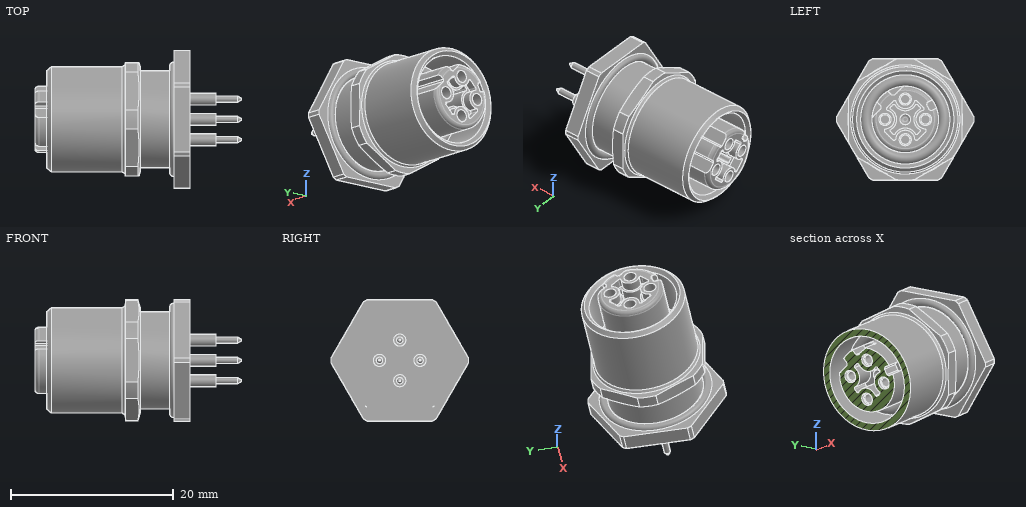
import cadquery as cq
import math

SHELL_FRONT = 1.46
COLLAR_START = 10.76
NUT_FRONT = 11.12
NUT_BACK = 13.0
FLANGE_FRONT = 17.13
FLANGE_BACK = 19.13
PIN_SHOULDER = 22.36
PIN_TAPER_START = 24.97
PIN_END = 25.5

SHELL_RADIUS = 13 / 2
BORE_RADIUS = 11 / 2
RIM_RADIUS = 6.0
SHELL_CHAMFER_LENGTH = 0.57
BORE_CHAMFER_LENGTH = 0.5
BORE_FLOOR = 8.0
NECK_RADIUS = 12 / 2

NUT_ACROSS_FLATS = 14.0
NUT_CORNER_RADIUS = 7.5
NUT_FRONT_CHAMFER = 0.08
NUT_BACK_CHAMFER = 0.3
COLLAR_RADIUS = 6.73

FLANGE_ACROSS_FLATS = 15.0
FLANGE_CORNER_RADIUS = 17 / 2
SEAL_SECTION_RADIUS = 0.52
SEAL_CENTRE_RADIUS = 6.55

INSERT_RADIUS = 4.1
INSERT_FILLET = 0.5
KEY_DEPTH = 6.0
KEY_FLAT_DISTANCE = 3.06
KEY_RIB_WIDTH = 1.9
KEY_RIB_ANGLE = 135
KEYWAY_ANGLE = 28
KEYWAY_WIDTH = 1.15
KEYWAY_FLOOR = 3.17
KEY_CORNER = 0.2

CONTACT_OFFSET = 2.5
SOCKET_RADIUS = 1.5 / 2
SOCKET_CORE_RADIUS = 1.15 / 2
SOCKET_DEPTH = 4.0
SOCKET_CORE_DEPTH = 6.0
PIN_BODY_RADIUS = 1.5 / 2
PIN_RADIUS = 0.8 / 2
PIN_TIP_RADIUS = 0.1

ARM_ANGLES = [45, 135, 225, 315]
OUTER_REACHES = [2.62, 2.62, 2.87, 2.87]
INNER_REACHES = [2.35] * 4
POCKET_WALL_RADIUS = 1.17
INNER_WALL_RADIUS = 1.44
OUTER_ARM_WIDTHS = [1.55, 1.55, 1.8, 1.8]
INNER_ARM_WIDTHS = [0.8] * 4
HUB_RADIUS = 1.6
ARM_CORNER = 0.2
POCKET_DEPTH = 1.25
INNER_POCKET_DEPTH = 6.0
DIMPLE_RADIUS = 0.66
DIMPLE_FLAT_RADIUS = 0.28


def plane_at(x):
    """Plane square to the axis: local x is -Y, local y is +Z, normal is -X."""
    return cq.Workplane(cq.Plane((x, 0, 0), xDir=(0, -1, 0), normal=(-1, 0, 0)))


def revolve(profile):
    return profile.close().revolve(360, (0, 0, 0), (1, 0, 0))


def cylinder(x_start, x_end, radius, centre=(0, 0)):
    return plane_at(x_end).center(*centre).circle(radius).extrude(x_end - x_start)


def hexagon(x_start, x_end, across_flats, turn):
    across_corners = across_flats / math.cos(math.radians(30))
    prism = plane_at(x_end).polygon(6, across_corners).extrude(x_end - x_start)
    return prism.rotate((0, 0, 0), (1, 0, 0), turn)


def around_axis(angles):
    return [
        (CONTACT_OFFSET * math.cos(math.radians(a)), CONTACT_OFFSET * math.sin(math.radians(a)))
        for a in angles
    ]


CONTACTS = around_axis([0, 90, 180, 270])


def make_shell():
    ring_radius = (BORE_RADIUS - INSERT_RADIUS) / 2
    return revolve(
        cq.Workplane("XY")
        .moveTo(SHELL_FRONT, RIM_RADIUS)
        .lineTo(SHELL_FRONT + SHELL_CHAMFER_LENGTH, SHELL_RADIUS)
        .lineTo(COLLAR_START, SHELL_RADIUS)
        .lineTo(NUT_FRONT, COLLAR_RADIUS)
        .lineTo(NUT_BACK, SHELL_RADIUS)
        .lineTo(NUT_BACK, NECK_RADIUS)
        .lineTo(FLANGE_BACK, NECK_RADIUS)
        .lineTo(FLANGE_BACK, 0)
        .lineTo(BORE_FLOOR, 0)
        .lineTo(BORE_FLOOR, INSERT_RADIUS)
        .threePointArc((BORE_FLOOR - ring_radius, INSERT_RADIUS + ring_radius), (BORE_FLOOR, BORE_RADIUS))
        .lineTo(SHELL_FRONT + BORE_CHAMFER_LENGTH, BORE_RADIUS)
    )


def make_nut():
    envelope = revolve(
        cq.Workplane("XY")
        .moveTo(NUT_FRONT, 0)
        .lineTo(NUT_FRONT, COLLAR_RADIUS)
        .lineTo(NUT_FRONT + NUT_FRONT_CHAMFER, NUT_CORNER_RADIUS)
        .lineTo(NUT_BACK - NUT_BACK_CHAMFER, NUT_CORNER_RADIUS)
        .lineTo(NUT_BACK, SHELL_RADIUS)
        .lineTo(NUT_BACK, 0)
    )
    bore = cylinder(NUT_FRONT, NUT_BACK, NECK_RADIUS)
    return hexagon(NUT_FRONT, NUT_BACK, NUT_ACROSS_FLATS, 30).intersect(envelope).cut(bore)


def make_flange():
    envelope = cylinder(FLANGE_FRONT, FLANGE_BACK, FLANGE_CORNER_RADIUS)
    flange = hexagon(FLANGE_FRONT, FLANGE_BACK, FLANGE_ACROSS_FLATS, 0).intersect(envelope)
    seal = revolve(
        cq.Workplane("XY")
        .moveTo(FLANGE_FRONT, SEAL_CENTRE_RADIUS - SEAL_SECTION_RADIUS)
        .threePointArc(
            (FLANGE_FRONT - SEAL_SECTION_RADIUS, SEAL_CENTRE_RADIUS),
            (FLANGE_FRONT, SEAL_CENTRE_RADIUS + SEAL_SECTION_RADIUS),
        )
    )
    return flange.union(seal)


def make_key_flat():
    """Material removed to leave a flat on either side of a central rib."""
    reach = INSERT_RADIUS - KEY_FLAT_DISTANCE
    middle = KEY_FLAT_DISTANCE + reach / 2
    slab = plane_at(KEY_DEPTH).center(middle, 0).rect(reach, 2 * INSERT_RADIUS).extrude(KEY_DEPTH)
    rib = (
        plane_at(KEY_DEPTH)
        .moveTo(KEY_FLAT_DISTANCE, KEY_RIB_WIDTH / 2 + KEY_CORNER)
        .lineTo(KEY_FLAT_DISTANCE + KEY_CORNER, KEY_RIB_WIDTH / 2)
        .lineTo(INSERT_RADIUS, KEY_RIB_WIDTH / 2)
        .lineTo(INSERT_RADIUS, -KEY_RIB_WIDTH / 2)
        .lineTo(KEY_FLAT_DISTANCE + KEY_CORNER, -KEY_RIB_WIDTH / 2)
        .lineTo(KEY_FLAT_DISTANCE, -KEY_RIB_WIDTH / 2 - KEY_CORNER)
        .close()
        .extrude(KEY_DEPTH)
    )
    return slab.cut(rib).rotate((0, 0, 0), (-1, 0, 0), KEY_RIB_ANGLE)


def make_keyway():
    reach = INSERT_RADIUS - KEYWAY_FLOOR
    slot = (
        plane_at(KEY_DEPTH)
        .center(KEYWAY_FLOOR + reach / 2, 0)
        .rect(reach, KEYWAY_WIDTH)
        .extrude(KEY_DEPTH)
        .edges("|X and >Y")
        .chamfer(KEY_CORNER)
    )
    return slot.rotate((0, 0, 0), (-1, 0, 0), KEYWAY_ANGLE)


def make_cross(depth, reaches, widths, wall_radius):
    """Four arms with rounded ends round a hub, leaving a round wall about each socket."""
    cross = cylinder(0, depth, HUB_RADIUS)
    for turn, reach, width in zip(ARM_ANGLES, reaches, widths):
        arm = plane_at(depth).center(reach / 2, 0).rect(reach, width).extrude(depth)
        arm = arm.faces("<Y").edges("|X").fillet(ARM_CORNER)
        cross = cross.union(arm.rotate((0, 0, 0), (-1, 0, 0), turn))
    walls = plane_at(depth).pushPoints(CONTACTS).circle(wall_radius).extrude(depth)
    return cross.cut(walls)


def make_dimple():
    depth = DIMPLE_RADIUS - DIMPLE_FLAT_RADIUS
    diagonal = depth * math.sqrt(0.5)
    return revolve(
        cq.Workplane("XY")
        .moveTo(INNER_POCKET_DEPTH, 0)
        .lineTo(INNER_POCKET_DEPTH, DIMPLE_RADIUS)
        .threePointArc(
            (INNER_POCKET_DEPTH + diagonal, DIMPLE_FLAT_RADIUS + diagonal),
            (INNER_POCKET_DEPTH + depth, DIMPLE_FLAT_RADIUS),
        )
        .lineTo(INNER_POCKET_DEPTH + depth, 0)
    )


def make_insert():
    insert = cylinder(0, BORE_FLOOR, INSERT_RADIUS).faces("<X").edges().fillet(INSERT_FILLET)
    insert = insert.cut(make_key_flat()).cut(make_keyway())
    insert = insert.cut(make_cross(POCKET_DEPTH, OUTER_REACHES, OUTER_ARM_WIDTHS, POCKET_WALL_RADIUS))
    insert = insert.cut(make_cross(INNER_POCKET_DEPTH, INNER_REACHES, INNER_ARM_WIDTHS, INNER_WALL_RADIUS))
    for centre in CONTACTS:
        insert = insert.cut(cylinder(0, SOCKET_DEPTH, SOCKET_RADIUS, centre))
        insert = insert.cut(cylinder(0, SOCKET_CORE_DEPTH, SOCKET_CORE_RADIUS, centre))
    return insert.cut(make_dimple())


def make_pin(centre):
    pin = revolve(
        cq.Workplane("XY")
        .moveTo(FLANGE_BACK, 0)
        .lineTo(FLANGE_BACK, PIN_BODY_RADIUS)
        .lineTo(PIN_SHOULDER, PIN_BODY_RADIUS)
        .lineTo(PIN_SHOULDER, PIN_RADIUS)
        .lineTo(PIN_TAPER_START, PIN_RADIUS)
        .lineTo(PIN_END, PIN_TIP_RADIUS)
        .lineTo(PIN_END, 0)
    )
    return pin.translate((0, centre[0], centre[1]))


result = make_shell().union(make_nut()).union(make_flange()).union(make_insert())
for contact in CONTACTS:
    result = result.union(make_pin(contact))